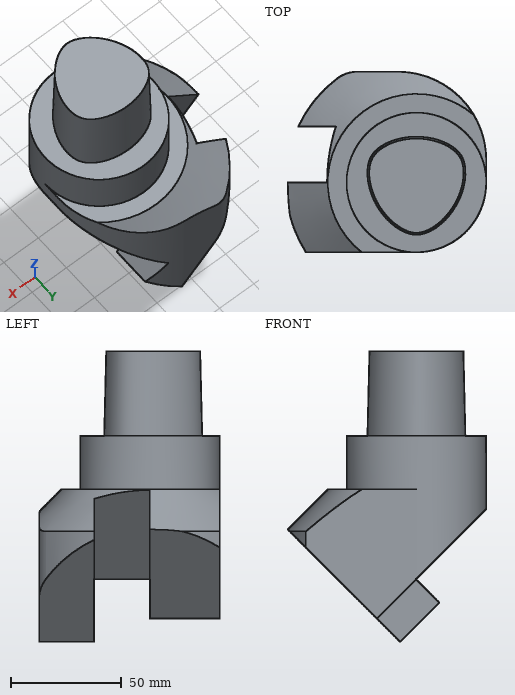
import cadquery as cq
import math


shank_height = 38.1
shank_base_radius = 22.1
shank_top_radius = 21.2
lobe_depth = 1.5

collar_diameter = 63.0
collar_radius = collar_diameter / 2
collar_height = 24.1

head_radius = 59.0
head_top_radius = 40.0
head_width = 81.5
back_face_y = head_width - collar_radius
back_right_radius = 40.0
back_left_radius = 14.9

mount_face_z = -100.2
slot_floor_z = -64.8
right_face_z = -64.6
lug_face_z = -85.5

slot_front_y = 0.0
slot_back_y = 25.2

head_top_z = -collar_height
overrun = 26.2


def trilobe(mean_radius):
    """Closed curve of constant width with one lobe pointing towards -Y."""
    def point(t):
        angle = 2 * math.pi * t - math.pi / 2
        lobe_angle = 3 * (angle + math.pi / 2)
        support = mean_radius + lobe_depth * math.cos(lobe_angle)
        slope = -3 * lobe_depth * math.sin(lobe_angle)
        return cq.Vector(
            support * math.cos(angle) - slope * math.sin(angle),
            support * math.sin(angle) + slope * math.cos(angle),
            0,
        )

    points_per_curve = 36
    points = [point(i / points_per_curve) for i in range(points_per_curve)]
    return cq.Wire.assembleEdges([cq.Edge.makeSpline(points, periodic=True)])


def crossing(falling_z, rising_z):
    """XZ point where a falling and a rising 45 degree face meet."""
    return ((falling_z - rising_z) / 2, (falling_z + rising_z) / 2)


def on_falling(plane_z, x):
    return (x, plane_z - x)


def on_rising(plane_z, x):
    return (x, plane_z + x)


def prism(points, y_start, y_end):
    """Extrude an XZ outline between two Y positions."""
    return (
        cq.Workplane("XZ", origin=(0, y_start, 0))
        .polyline(points)
        .close()
        .extrude(y_start - y_end)
    )


def make_shank():
    base = trilobe(shank_base_radius)
    top = trilobe(shank_top_radius).translate(cq.Vector(0, 0, shank_height))
    return cq.Workplane(obj=cq.Solid.makeLoft([base, top]))


def make_collar():
    """Collar disc; its seam lies at -X, clear of the faces it shares with the head."""
    disc = cq.Workplane("XY").circle(collar_radius).extrude(-collar_height)
    return disc.rotate((0, 0, 0), (0, 0, 1), 180)


def make_plan_column(bottom_z):
    """Vertical column with the head's outline as seen along Z."""
    diagonal = math.sqrt(0.5)
    arc_x = collar_radius - back_right_radius
    arc_y = back_face_y - back_right_radius

    blend_y = back_face_y - back_left_radius
    blend_x = -math.sqrt((head_radius - back_left_radius) ** 2 - blend_y ** 2)
    touch_angle = math.atan2(blend_y, blend_x)
    mid_angle = (touch_angle + math.pi / 2) / 2
    blend_mid = (
        blend_x + back_left_radius * math.cos(mid_angle),
        blend_y + back_left_radius * math.sin(mid_angle),
    )
    touch = (head_radius * math.cos(touch_angle), head_radius * math.sin(touch_angle))
    front_left_x = -math.sqrt(head_radius ** 2 - collar_radius ** 2)

    return (
        cq.Workplane("XY")
        .moveTo(front_left_x, -collar_radius)
        .lineTo(0, -collar_radius)
        .threePointArc((collar_radius * diagonal, -collar_radius * diagonal), (collar_radius, 0))
        .lineTo(collar_radius, arc_y)
        .threePointArc(
            (arc_x + back_right_radius * diagonal, arc_y + back_right_radius * diagonal),
            (arc_x, back_face_y),
        )
        .lineTo(blend_x, back_face_y)
        .threePointArc(blend_mid, touch)
        .threePointArc((-head_radius, 0), (front_left_x, -collar_radius))
        .close()
        .extrude(bottom_z)
    )


def make_coned_blank(bottom_z):
    """Round blank whose top edge is a 45 degree cone."""
    cone_height = head_radius - head_top_radius
    return (
        cq.Workplane("XZ")
        .moveTo(0, head_top_z)
        .lineTo(head_top_radius, head_top_z)
        .lineTo(head_radius, head_top_z - cone_height)
        .lineTo(head_radius, bottom_z)
        .lineTo(0, bottom_z)
        .close()
        .revolve(360, (0, 0, 0), (0, 1, 0))
    )


def make_side_prism():
    """Head outline seen along Y, with the longer lug behind the slot."""
    left_x = -head_radius - overrun
    right_x = collar_radius + overrun
    body = prism(
        [
            on_falling(mount_face_z, left_x),
            crossing(mount_face_z, right_face_z),
            on_rising(right_face_z, right_x),
            (right_x, 0),
            (left_x, 0),
        ],
        -collar_radius,
        back_face_y,
    )
    lug = prism(
        [
            on_falling(mount_face_z, left_x),
            crossing(mount_face_z, lug_face_z),
            crossing(slot_floor_z, lug_face_z),
            on_falling(slot_floor_z, left_x),
        ],
        slot_back_y,
        back_face_y,
    )
    return body.union(lug)


def make_slot():
    left_x = -head_radius - overrun
    right_x = overrun
    return prism(
        [
            on_falling(slot_floor_z, left_x),
            on_falling(slot_floor_z, right_x),
            on_falling(mount_face_z - overrun, right_x),
            on_falling(mount_face_z - overrun, left_x),
        ],
        slot_front_y,
        slot_back_y,
    )


def make_head():
    bottom_z = mount_face_z
    blank = make_coned_blank(bottom_z).intersect(make_plan_column(bottom_z))
    return blank.intersect(make_side_prism())


result = make_head().cut(make_slot()).union(make_collar()).union(make_shank())